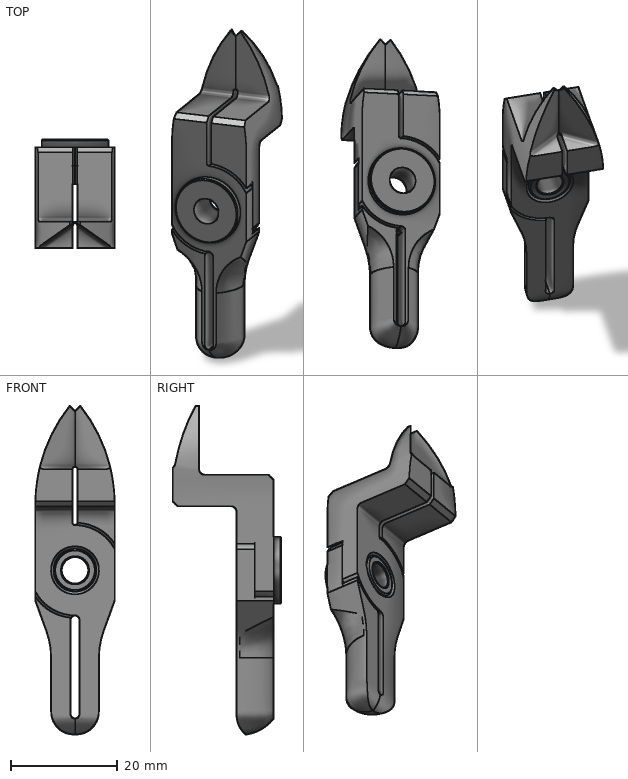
import cadquery as cq
import math

half_width = 7.5
half_height = 31.0
plate = 7.0
head_depth = 19.05
jaw_depth = 5.0
block_bottom = 12.0
block_top = 18.05
round_radius = 1.0
edge_chamfer = 1.0

jaw_arc_radius = 30.0
tip_x = 1.0
bevel_angle = 35.0
bevel_floor = 19.05

hub_radius = 8.5
recess_radius = 9.0
slot_inner_end = 8.55
jaw_slot_width = 0.9
jaw_slot_top = 19.45
handle_slot_width = 1.7
handle_slot_bottom = -27.9

shoulder_z = -5.7
taper_angle = 20.0
taper_arc_radius = 15.0
handle_half = 4.5
end_center_z = -26.55
side_flat = 0.7
back_round_radius = 8.0
nose_start_z = -27.15
nose_radius = 5.0
blend_back_radius = 8.5
blend_back_rise = 7.95
blend_steps = 4

pin_radius = 4.0
pin_chamfer = 0.3
countersink = 0.5
bore_radius = 2.5
bore_chamfer = 0.2
pin_head_radius = 6.3
pin_head = 1.5
pin_head_chamfer = 0.25

y_back = plate / 2
y_front = -plate / 2
y_block_front = y_back - head_depth
y_jaw_back = y_block_front + jaw_depth
y_flat = y_front + side_flat
taper = math.radians(taper_angle)
jaw_arc_drop = math.sqrt(jaw_arc_radius**2 - (jaw_arc_radius - half_width + tip_x) ** 2)
taper_end_x = handle_half + taper_arc_radius * (1 - math.cos(taper))
taper_end_z = shoulder_z - (half_width - taper_end_x) / math.tan(taper)
handle_top_z = taper_end_z - taper_arc_radius * math.sin(taper)
back_round_angle = math.asin((y_back - y_flat) / back_round_radius)
back_half = handle_half - back_round_radius * (1 - math.cos(back_round_angle))
tool_size = 3 * half_width


def extrude_outline(outline):
    """Extrude an XZ outline through the whole depth."""
    return outline.extrude(head_depth, both=True)


def head_half():
    """Upper half of the +X lever: plate, block and jaw without slot or bevel."""
    outline = extrude_outline(
        cq.Workplane("XZ")
        .lineTo(half_width, 0)
        .lineTo(half_width, half_height - jaw_arc_drop)
        .radiusArc((tip_x, half_height), -jaw_arc_radius)
        .lineTo(0, half_height - edge_chamfer)
        .close()
    )
    side = (
        cq.Workplane("YZ")
        .moveTo(y_back, 0)
        .lineTo(y_back, block_top - edge_chamfer)
        .lineTo(y_back - edge_chamfer, block_top)
        .lineTo(y_jaw_back + round_radius, block_top)
        .radiusArc((y_jaw_back, block_top + round_radius), round_radius)
        .lineTo(y_jaw_back, half_height)
        .lineTo(y_block_front, half_height)
        .lineTo(y_block_front, block_bottom + edge_chamfer)
        .lineTo(y_block_front + edge_chamfer, block_bottom)
        .lineTo(y_front - round_radius, block_bottom)
        .radiusArc((y_front, block_bottom - round_radius), round_radius)
        .lineTo(y_front, 0)
        .close()
        .extrude(half_width)
    )
    return outline.intersect(side).cut(jaw_bevel())


def jaw_bevel():
    """Tool that slopes the jaw front away from the cutting edge and rounds its foot."""
    return (
        cq.Workplane("XY")
        .box(2 * tool_size, tool_size, tool_size, centered=(True, False, False))
        .edges(">Y and <Z")
        .fillet(round_radius)
        .translate((0, -tool_size, bevel_floor))
        .rotate((0, 0, 0), (0, 0, 1), -bevel_angle)
        .translate((0, y_jaw_back, 0))
    )


def handle_half_body():
    """Lower half of the +X side: tapered plate and rounded handle without slot."""
    body = (
        cq.Workplane("XZ")
        .lineTo(half_width, 0)
        .lineTo(half_width, shoulder_z)
        .lineTo(taper_end_x, taper_end_z)
        .radiusArc((handle_half, handle_top_z), -taper_arc_radius)
        .lineTo(handle_half, end_center_z)
        .radiusArc((0, end_center_z - handle_half), handle_half)
        .close()
        .extrude(plate / 2, both=True)
    )
    return body.cut(back_rounding()).cut(back_blend()).cut(end_rounding()).cut(nose_rounding())


def rounding_section():
    """Area outside the rounded back of the handle, at the center of the handle end."""
    half_angle = back_round_angle / 2
    middle = (
        handle_half - back_round_radius * (1 - math.cos(half_angle)),
        y_flat + back_round_radius * math.sin(half_angle),
    )
    return (
        cq.Workplane("XY", origin=(0, 0, end_center_z))
        .moveTo(handle_half, y_flat)
        .threePointArc(middle, (back_half, y_back))
        .lineTo(tool_size, y_back)
        .lineTo(tool_size, y_flat)
        .close()
    )


def back_rounding():
    return rounding_section().extrude(handle_top_z - end_center_z)


def end_rounding():
    """The same rounding carried around the handle end."""
    return rounding_section().revolve(90, (0, 0, 0), (0, 1, 0))


def blend_section(step):
    """One section of the blend that runs the back rounding out onto the tapered side."""
    fraction = step / blend_steps
    front_angle = fraction * taper
    back_angle = fraction * math.asin(blend_back_rise / blend_back_radius)
    front = cq.Vector(
        handle_half + taper_arc_radius * (1 - math.cos(front_angle)),
        y_flat,
        handle_top_z + taper_arc_radius * math.sin(front_angle),
    )
    back = cq.Vector(
        back_half + blend_back_radius * (1 - math.cos(back_angle)),
        y_back,
        handle_top_z + blend_back_radius * math.sin(back_angle),
    )
    chord = math.hypot(handle_half - back_half, y_back - y_flat)
    bulge = (1 - fraction) * back_round_radius * (1 - math.cos(back_round_angle / 2))
    bulge_x = bulge * chord / (y_back - y_flat)
    middle = (front + back) * 0.5 + cq.Vector(bulge_x, 0, 0)
    outer_back = cq.Vector(tool_size, y_back, back.z)
    outer_front = cq.Vector(tool_size, y_flat, front.z)
    if step < blend_steps:
        inner_edge = cq.Edge.makeThreePointArc(front, middle, back)
    else:
        inner_edge = cq.Edge.makeLine(front, back)
    return cq.Wire.assembleEdges([
        inner_edge,
        cq.Edge.makeLine(back, outer_back),
        cq.Edge.makeLine(outer_back, outer_front),
        cq.Edge.makeLine(outer_front, front),
    ])


def back_blend():
    sections = [blend_section(step) for step in range(blend_steps + 1)]
    return cq.Workplane(obj=cq.Solid.makeLoft(sections))


def nose_rounding():
    """Tool that curves the front face of the handle end backwards."""
    return (
        cq.Workplane("YZ")
        .moveTo(y_front, nose_start_z)
        .radiusArc((y_front + nose_radius, nose_start_z - nose_radius), -nose_radius)
        .lineTo(y_front, nose_start_z - nose_radius)
        .close()
        .extrude(tool_size)
    )


def slot(width, bottom, top):
    """Round-ended slot through the whole depth, on the middle plane."""
    return extrude_outline(
        cq.Workplane("XZ").center(0, (bottom + top) / 2).slot2D(top - bottom, width, 90)
    )


def hub_layer(radius, direction):
    """Disc about the pivot, half the plate thick, from the meeting plane along Y direction."""
    return cq.Workplane("XZ").circle(radius).extrude(-direction * plate / 2)


def pivot_hole():
    """Hole for the pin, countersunk in the front face."""
    hole = cq.Workplane("XZ").circle(pin_radius).extrude(plate / 2, both=True)
    sink = cq.Solid.makeCone(
        pin_radius + countersink, pin_radius, countersink,
        pnt=cq.Vector(0, y_front, 0), dir=cq.Vector(0, 1, 0),
    )
    return hole.union(cq.Workplane(obj=sink))


def lever(jaw_side, hub_direction):
    """Lever with its jaw on one X side, its handle on the other and its hub in one Y layer."""
    head = head_half()
    handle = handle_half_body()
    if jaw_side > 0:
        handle = handle.mirror("YZ")
    else:
        head = head.mirror("YZ")
    other_hub = hub_layer(recess_radius, -hub_direction)
    side_limit = cq.Workplane("XY").box(2 * half_width, plate, 2 * recess_radius)
    hub = hub_layer(hub_radius, hub_direction).intersect(side_limit)
    jaw_slot = slot(jaw_slot_width, slot_inner_end, jaw_slot_top)
    handle_slot = slot(handle_slot_width, handle_slot_bottom, -slot_inner_end)
    head = head.cut(jaw_slot).cut(other_hub)
    handle = handle.cut(handle_slot).cut(other_hub)
    return hub.union(head).union(handle).cut(pivot_hole())


def pivot_pin():
    """Hollow pin, flush with the front face, with a flat head on the back."""
    shank = cq.Workplane("XZ", origin=(0, y_back, 0)).circle(pin_radius).extrude(plate)
    shank = shank.faces("<Y").edges().chamfer(pin_chamfer)
    head = cq.Workplane("XZ", origin=(0, y_back, 0)).circle(pin_head_radius).extrude(-pin_head)
    head = head.faces(">Y").edges().chamfer(pin_head_chamfer)
    bore = cq.Workplane("XZ").circle(bore_radius).extrude(plate, both=True)
    pin = shank.union(head).cut(bore)
    bore_rim = cq.selectors.RadiusNthSelector(0)
    return pin.faces("<Y").edges(bore_rim).chamfer(bore_chamfer)


left_lever = lever(jaw_side=-1, hub_direction=-1).solids().val()
right_lever = lever(jaw_side=1, hub_direction=1).solids().val()
pin = pivot_pin().solids().val()

result = cq.Compound.makeCompound([left_lever, right_lever, pin])